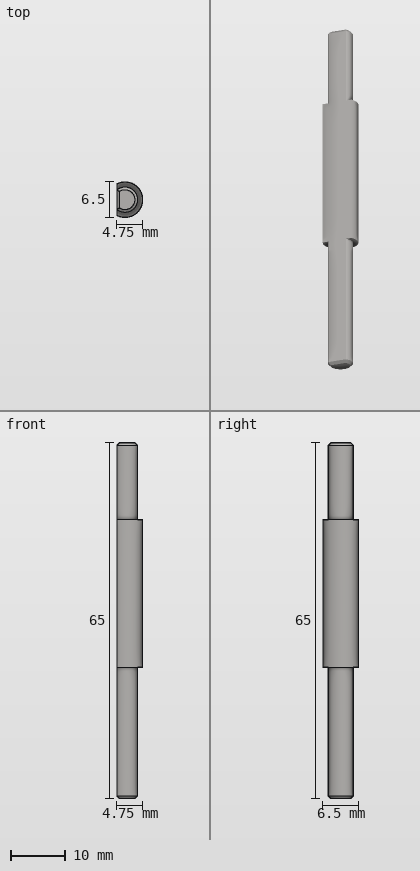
import cadquery as cq

TOTAL_LENGTH = 65.0
BODY_DIAMETER = 6.5
JOURNAL_DIAMETER = 4.6
FLAT_DISTANCE = 1.5
LOWER_JOURNAL_LENGTH = 24.0
BODY_LENGTH = 27.0
END_CHAMFER = 0.5

upper_journal_length = TOTAL_LENGTH - LOWER_JOURNAL_LENGTH - BODY_LENGTH


def d_section(diameter, length, base_z):
    """Upright round bar with one flat facing -X, running the full length."""
    bar = cq.Workplane("XY", origin=(0, 0, base_z)).circle(diameter / 2).extrude(length)
    keep = (
        cq.Workplane("XY", origin=(-FLAT_DISTANCE, 0, base_z))
        .rect(2 * diameter, 2 * diameter)
        .extrude(length)
        .translate((diameter, 0, 0))
    )
    return bar.intersect(keep)


lower_journal = d_section(JOURNAL_DIAMETER, LOWER_JOURNAL_LENGTH, 0)
lower_journal = lower_journal.faces("<Z").chamfer(END_CHAMFER)

upper_journal = d_section(JOURNAL_DIAMETER, upper_journal_length, LOWER_JOURNAL_LENGTH + BODY_LENGTH)
upper_journal = upper_journal.faces(">Z").chamfer(END_CHAMFER)

body = d_section(BODY_DIAMETER, BODY_LENGTH, LOWER_JOURNAL_LENGTH)

result = body.union(lower_journal).union(upper_journal).clean()